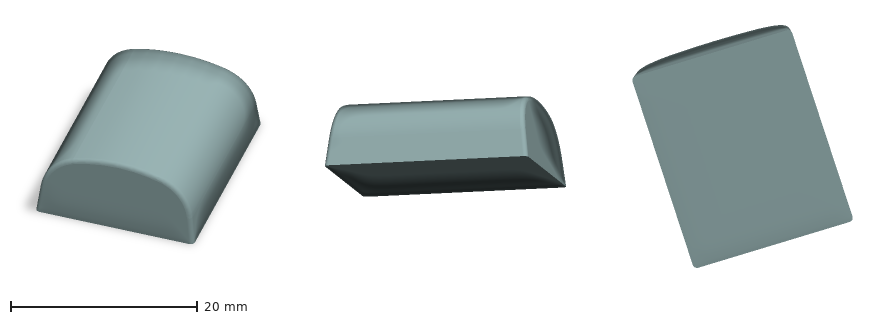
import cadquery as cq
import math

width = 18.0
length = 22.5
height = 7.99

draft_angle = 7.0
crown_radius = 18.0
shoulder_radius = 5.0
end_edge_radius = 0.5

draft_slope = math.tan(math.radians(draft_angle))


def arched_prism():
    """Arched cross-section with leaning sides, run along Y."""
    half_base = width / 2
    circle_z = height - crown_radius
    a = 1 + draft_slope**2
    half_b = -(circle_z + half_base * draft_slope)
    c = half_base**2 + circle_z**2 - crown_radius**2
    corner_z = (-half_b + math.sqrt(half_b**2 - a * c)) / a
    corner_x = half_base - draft_slope * corner_z

    sharp = (
        cq.Workplane("XZ")
        .moveTo(-half_base, 0)
        .lineTo(half_base, 0)
        .lineTo(corner_x, corner_z)
        .threePointArc((0, height), (-corner_x, corner_z))
        .close()
        .extrude(length / 2, both=True)
    )
    return sharp.edges("|Y and (not <Z)").fillet(shoulder_radius)


def end_wall_envelope():
    """Trapezoid seen along X that leans both end faces inward."""
    half_base = length / 2
    half_top = half_base - draft_slope * height
    return (
        cq.Workplane("YZ")
        .polyline([(-half_base, 0), (half_base, 0), (half_top, height), (-half_top, height)])
        .close()
        .extrude(width, both=True)
    )


def round_end_edges(body):
    """Round the outline of both end faces, leaving the base edges sharp."""
    end_edges = body.faces("<Y or >Y").edges("not <Z")
    return end_edges.fillet(end_edge_radius)


result = round_end_edges(arched_prism().intersect(end_wall_envelope()))